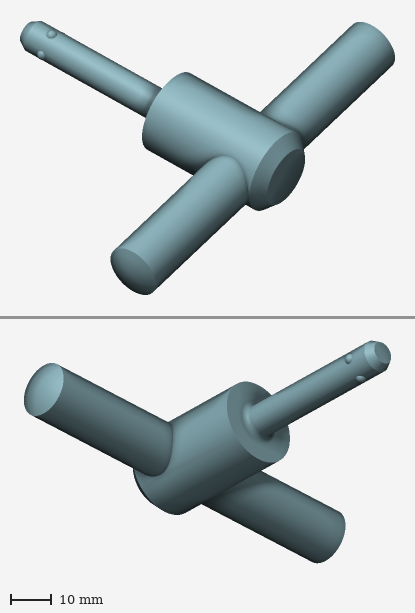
import cadquery as cq
import math

total_length = 79.8

hub_diameter = 21.5
hub_radius = hub_diameter / 2
hub_start = 43.6
hub_chamfer = 3.1
hub_length = total_length - hub_start

pin_diameter = 8.3
pin_radius = pin_diameter / 2
tip_chamfer_length = 2.2
tip_chamfer_angle = 30
tip_radius = pin_radius - tip_chamfer_length * math.tan(math.radians(tip_chamfer_angle))
root_fillet = 1.5

ball_count = 4
ball_radius = 1.4
ball_protrusion = 0.8
ball_position = 7.6
ball_center_radius = pin_radius + ball_protrusion - ball_radius

handle_length = 99.8
handle_radius = 7
handle_position = 69.5
dome_height = 2


def make_handle():
    """Round bar with a shallow spherical dome on each end."""
    half_length = handle_length / 2
    shoulder = half_length - dome_height
    dome_radius = (handle_radius**2 + dome_height**2) / (2 * dome_height)
    half_angle = math.asin(handle_radius / dome_radius) / 2
    mid_radius = dome_radius * math.sin(half_angle)
    mid_height = half_length - dome_radius * (1 - math.cos(half_angle))
    return (
        cq.Workplane("XY")
        .moveTo(0, -half_length)
        .threePointArc((mid_radius, -mid_height), (handle_radius, -shoulder))
        .lineTo(handle_radius, shoulder)
        .threePointArc((mid_radius, mid_height), (0, half_length))
        .close()
        .revolve(360, (0, 0, 0), (0, 1, 0))
        .translate((handle_position, 0, 0))
    )


def make_hub(handle):
    """Cylinder with a chamfered far end and a cross hole that fits the handle."""
    blank = (
        cq.Workplane("YZ", origin=(hub_start, 0, 0))
        .circle(hub_radius)
        .extrude(hub_length)
        .faces(">X")
        .chamfer(hub_chamfer)
    )
    return blank.cut(handle)


def make_pin():
    """Tapered-tip pin with locking balls and a flared root seated on the hub face."""
    fillet_start = hub_start - root_fillet
    flare_radius = pin_radius + root_fillet
    fillet_offset = root_fillet * math.sin(math.radians(45))
    fillet_middle = (fillet_start + fillet_offset, flare_radius - fillet_offset)
    pin = (
        cq.Workplane("XY")
        .lineTo(0, tip_radius)
        .lineTo(tip_chamfer_length, pin_radius)
        .lineTo(fillet_start, pin_radius)
        .threePointArc(fillet_middle, (hub_start, flare_radius))
        .lineTo(hub_start, 0)
        .close()
        .revolve(360, (0, 0, 0), (1, 0, 0))
    )
    for index in range(ball_count):
        ball = (
            cq.Workplane("XY")
            .sphere(ball_radius)
            .translate((ball_position, ball_center_radius, 0))
            .rotate((0, 0, 0), (1, 0, 0), index * 360 / ball_count)
        )
        pin = pin.union(ball)
    return pin


handle = make_handle()
hub = make_hub(handle)
pin = make_pin()

result = cq.Compound.makeCompound([pin.val(), hub.val(), handle.val()])